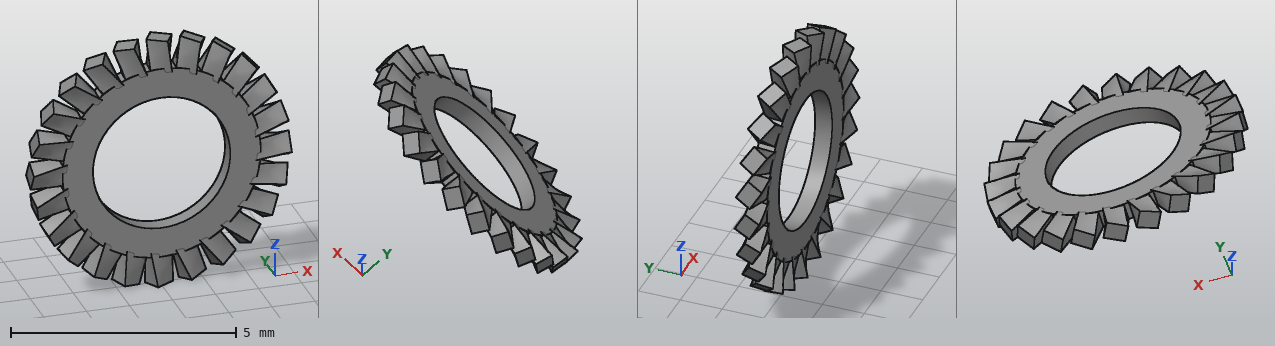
import cadquery as cq
import math


tip_radius = 3.0
ring_radius = 2.305
hole_radius = 1.595
root_radius = 2.195
tooth_count = 24
tooth_width = 0.49
tooth_twist = 30.0
overall_thickness = 0.6
root_inset = 0.0005

twist_angle = math.radians(tooth_twist)
tooth_thickness = (overall_thickness - tooth_width * math.sin(twist_angle)) / math.cos(twist_angle)
ring_thickness = tooth_thickness + 2 * root_inset


def make_ring():
    return (
        cq.Workplane("XZ")
        .circle(ring_radius)
        .circle(hole_radius)
        .extrude(ring_thickness / 2, both=True)
    )


def make_tooth():
    """Tooth pointing along +Z, with straight edges from the untwisted root to the turned tip."""
    return (
        cq.Workplane("XY")
        .workplane(offset=root_radius)
        .rect(tooth_width, tooth_thickness)
        .workplane(offset=tip_radius - root_radius)
        .transformed(rotate=(0, 0, -tooth_twist))
        .rect(tooth_width, tooth_thickness)
        .loft(ruled=True)
    )


result = make_ring()
tooth = make_tooth()
for index in range(tooth_count):
    angle = index * 360 / tooth_count
    result = result.union(tooth.rotate((0, 0, 0), (0, 1, 0), angle))